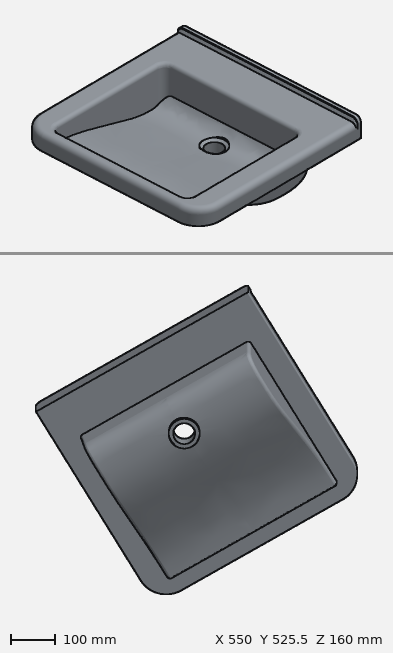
import cadquery as cq
import math


width = 550.0
depth = 525.5
slab_height = 48.0
front_corner_radius = 66.0
top_edge_radius = 15.5
bottom_edge_radius = 3.5

upstand_height = 59.5
upstand_thickness = 11.0
upstand_end_radius = 16.0
cove_run = 6.0
cove_rise = 9.0
cove_inset = 0.5
cove_sink = 0.5

opening_width = 440.0
opening_back = -113.0
opening_front = -504.5
rim_radius = 11.0
basin_draft = 4.0
bowl_corner_radius = 22.0
shell_width = opening_width
shell_draft = 5.0
shell_back = -98.5
shell_front = -487.0
shell_edge_radius = 7.5
shell_lip = 7.0
shell_depth = 92.5
side_overrun = 5.5

drain_y = -185.0
drain_radius = 24.0
drain_recess_radius = 33.5
drain_recess_depth = 5.5
drain_rim_level = -54.5
outlet_radius = 34.5
outlet_bottom = -100.5

rear_wall_foot = (-105.5, -50.5)
shell_floor_curve = [
    (-120.5, -78.5),
    (-150.0, -90.0),
    (drain_y, -shell_depth),
    (-218.5, -90.0),
    (-287.0, -68.0),
    (-367.5, -31.0),
    (-416.0, -15.0),
    (shell_front, -shell_lip),
]

basin_floor_curve = [
    (-133.0, -36.0),
    (-150.0, -49.5),
    (drain_y, drain_rim_level),
    (-218.5, -51.0),
    (-287.0, -34.5),
    (-367.5, -14.0),
    (-416.0, -3.5),
    (opening_front, 4.0),
]


def prism_across(profile, length):
    """Extrude a YZ profile symmetrically along X."""
    return profile.extrude(length / 2, both=True)


def make_slab():
    slab = cq.Workplane("XY").box(width, depth, slab_height, centered=(True, False, False))
    slab = slab.translate((0, -depth, 0))
    slab = slab.edges("|Z and <Y").fillet(front_corner_radius)
    slab = slab.faces(">Z").edges("not >Y").fillet(top_edge_radius)
    return slab.faces("<Z").edges("not >Y").fillet(bottom_edge_radius)


def upstand_outline(thickness):
    """Plate across the rear with rounded upper ends."""
    plate = cq.Workplane("XY").box(width, thickness, upstand_height, centered=(True, False, False))
    return plate.translate((0, -thickness, 0)).edges("|Y and >Z").fillet(upstand_end_radius)


def make_upstand():
    upstand = upstand_outline(upstand_thickness)
    upstand = upstand.edges("|Y and <Z").fillet(bottom_edge_radius)

    def cove_section(y, top):
        half = width / 2 - cove_inset
        radius = upstand_end_radius
        diagonal = radius * (1 - math.sqrt(0.5))
        return (
            cq.Workplane("XZ", origin=(0, y, 0))
            .moveTo(-half, bottom_edge_radius)
            .lineTo(half, bottom_edge_radius)
            .lineTo(half, top - radius)
            .threePointArc((half - diagonal, top - diagonal), (half - radius, top))
            .lineTo(radius - half, top)
            .threePointArc((diagonal - half, top - diagonal), (-half, top - radius))
            .close()
        ).val()

    back_section = cove_section(-upstand_thickness, slab_height + cove_rise)
    front_section = cove_section(-upstand_thickness - cove_run, slab_height - cove_sink)
    cove = cq.Workplane(cq.Solid.makeLoft([back_section, front_section], True))
    return upstand.union(cove)


def make_shell():
    """Outer body of the bowl; its sides draw inward toward the bottom."""
    profile = (
        cq.Workplane("YZ")
        .moveTo(shell_back, bottom_edge_radius)
        .lineTo(shell_back, 0)
        .lineTo(*rear_wall_foot)
        .spline(shell_floor_curve, includeCurrent=True)
        .lineTo(shell_front, bottom_edge_radius)
        .close()
    )
    draft_slope = math.tan(math.radians(shell_draft))
    top_half = shell_width / 2
    bottom_half = top_half - draft_slope * shell_depth
    shell_bottom = -shell_depth - side_overrun
    sides = (
        cq.Workplane("XZ")
        .polyline([
            (-top_half, bottom_edge_radius),
            (top_half, bottom_edge_radius),
            (bottom_half, shell_bottom),
            (-bottom_half, shell_bottom),
        ])
        .close()
        .extrude(depth)
    )
    shell = prism_across(profile, width).intersect(sides)
    return shell.faces("<X or >X").edges("not >Z").fillet(shell_edge_radius)


def make_basin_space():
    """Hollow of the bowl: a rounded plan bounded below by the floor curve."""
    back = opening_back - rim_radius
    front = opening_front + rim_radius
    inner_width = opening_width - 2 * rim_radius
    plan = (
        cq.Workplane("XY", origin=(0, (back + front) / 2, slab_height))
        .rect(inner_width, back - front)
        .extrude(-shell_depth - slab_height, taper=basin_draft)
        .edges("not (|X or |Y)")
        .fillet(bowl_corner_radius)
    )
    profile = (
        cq.Workplane("YZ")
        .moveTo(back, slab_height)
        .spline(basin_floor_curve, includeCurrent=True)
        .lineTo(opening_front, slab_height)
        .close()
    )
    return plan.intersect(prism_across(profile, width))


def drain_cylinder(radius, bottom, top):
    return cq.Workplane("XY", origin=(0, drain_y, bottom)).circle(radius).extrude(top - bottom)


body = make_slab().union(make_shell())
body = body.union(drain_cylinder(outlet_radius, outlet_bottom, drain_rim_level - drain_recess_depth))
body = body.cut(make_basin_space())

selection_margin = 0.5
rim_box = cq.selectors.BoxSelector(
    (-opening_width / 2, opening_front, slab_height - selection_margin),
    (opening_width / 2, opening_back, slab_height + selection_margin),
)
body = body.edges(rim_box).fillet(rim_radius)

drain_funnel = (
    cq.Workplane("XY", origin=(0, drain_y, drain_rim_level - drain_recess_depth))
    .circle(drain_radius)
    .workplane(offset=drain_recess_depth)
    .circle(drain_recess_radius)
    .loft()
)
body = body.cut(drain_funnel)
body = body.cut(drain_cylinder(drain_recess_radius, drain_rim_level, 0))
body = body.cut(drain_cylinder(drain_radius, outlet_bottom, 0))
result = body.union(make_upstand())